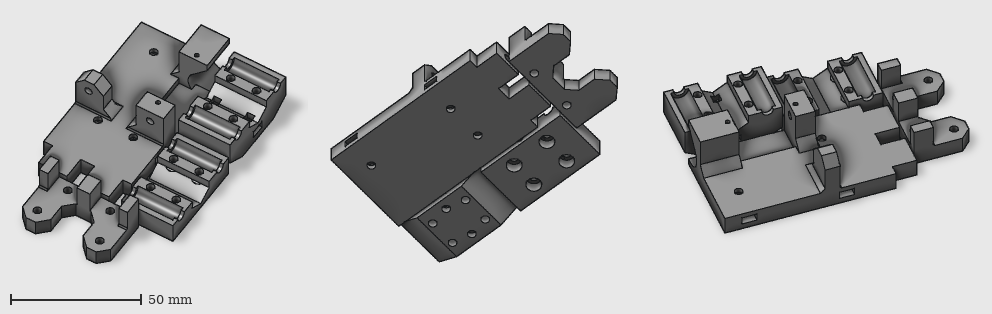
import cadquery as cq
import math

PLATE_WIDTH = 40.0
BLOCK_LENGTH = 40.0
PART_GAP = 1.1
SCREW_DIAMETER = 3.3
PIN_DIAMETER = 3.3
PIN_HOLE_DEPTH = 5.0
FRONT_FOOT = 0.6

LUG_HEIGHT = 16.0
LUG_WIDTH = 12.6
LUG_OUTER_CHAMFER = 4.0
LUG_INNER_CHAMFER = 4.2
LUG_FOOT = 3.9
PIN_OFFSET = 5.8
PIN_HEIGHT = 10.6

BASE_LENGTH = 80.1
BASE_THICKNESS = 8.0
TAB_LENGTH = 10.0
TAB_WIDTH = 12.8
TAB_INSET = 4.0
TAB_HOLE_X = TAB_INSET + TAB_WIDTH / 2
TAB_HOLE_DEPTH = TAB_LENGTH
PLATE_SCREW_X = 12.0
FRONT_SCREW_Y = 30.0
BACK_SCREW_Y = 70.0
NUT_WIDTH = 6.2
NUT_HEIGHT = 3.3
NUT_FLOOR = 2.5

FRONT_UPRIGHT_Y = 32.9
FRONT_TOWER_BACK_Y = 40.9
LUG_BACK_FOOT = 1.9
FRONT_TOWER_X = 27.5
FRONT_TOWER_FOOT = 4.1
BACK_TOWER_X = 27.1
BACK_TOWER_FOOT = 3.8
BACK_TOWER_Y = 64.2
PIN_SPACING = 28.0
TOWER_PIN_X = PIN_OFFSET + PIN_SPACING
SET_SCREW_DIAMETER = 1.8
FRONT_SET_SCREW_Y = 38.6
BACK_SET_SCREW_Y = 66.4

POCKET_FLOOR = 5.0
SHELF_DEPTH = 3.0
POCKET_END_Y = BACK_TOWER_Y + SHELF_DEPTH
BORE_X = 38.1
BORE_Z = 9.4
BORE_RADIUS = 6.8

BLOCK_X = 41.6
BLOCK_WIDTH = 23.4
FRONT_BLOCK_HEIGHT = 9.4
BACK_BLOCK_HEIGHT = 16.0
VEE_HALF_WIDTH = 6.0
VEE_ANGLE = 30
VEE_WALL = 3.7
ROD_SPACING = 28.0
BEARING_RADIUS = 3.6
ROD_RADIUS = 2.2
END_WALL = 1.6
CLAMP_SPACING_X = 11.7
CLAMP_SPACING_Y = 16.5
SCREW_HEAD_DIAMETER = 6.0
SCREW_HEAD_SEAT = 5.3
BACK_BLOCK_BEVEL = 5.1
VEE_SCREW_INSET = 4.1
VEE_SCREW_SQUARE = 3.3
BLOCK_NUT_FLOOR = 3.3

BRACKET_X = 10.1
BRACKET_THICKNESS = 7.0
BRACKET_HEIGHT = 17.0
BAR_DEPTH = 8.0
SIDE_POST_WIDTH = 3.9
CENTER_POST_WIDTH = 5.8
BRACKET_SCREW_X = 10.4
BRACKET_SCREW_Y = 3.9


def box(x0, x1, y0, y1, z0, z1):
    """Box between two opposite corners."""
    return cq.Workplane("XY").box(x1 - x0, y1 - y0, z1 - z0, centered=False).translate((x0, y0, z0))


def prism_along_y(points, y0, y1):
    """XZ outline swept from y0 to y1."""
    return cq.Workplane("XZ", origin=(0, y0, 0)).polyline(points).close().extrude(y0 - y1)


def prism_along_x(points, x0, x1):
    """YZ outline swept from x0 to x1."""
    return cq.Workplane("YZ", origin=(x0, 0, 0)).polyline(points).close().extrude(x1 - x0)


def hole_z(x, y, diameter, z0, z1):
    """Round cutter along Z."""
    return cq.Workplane("XY", origin=(x, y, z0)).circle(diameter / 2).extrude(z1 - z0)


def hole_y(x, z, diameter, y0, y1):
    """Round cutter along Y."""
    return cq.Workplane("XZ", origin=(x, y0, z)).circle(diameter / 2).extrude(y0 - y1)


def nut_slot(open_x, screw_x, screw_y, floor):
    """Nut slot from a side face to a screw, with a hexagonal end round the screw."""
    corner_radius = NUT_WIDTH / math.sqrt(3)
    side = math.copysign(1, screw_x - open_x)
    half = NUT_WIDTH / 2
    outline = [
        (open_x, screw_y - half),
        (screw_x + side * corner_radius / 2, screw_y - half),
        (screw_x + side * corner_radius, screw_y),
        (screw_x + side * corner_radius / 2, screw_y + half),
        (open_x, screw_y + half),
    ]
    return cq.Workplane("XY", origin=(0, 0, floor)).polyline(outline).close().extrude(NUT_HEIGHT)


def lug_outline():
    """Chamfered lug with a 45 degree foot on its inner side; the root's outer corner is the origin."""
    return [
        (0, 0),
        (0, LUG_HEIGHT - LUG_OUTER_CHAMFER),
        (LUG_OUTER_CHAMFER, LUG_HEIGHT),
        (LUG_WIDTH - LUG_INNER_CHAMFER, LUG_HEIGHT),
        (LUG_WIDTH, LUG_HEIGHT - LUG_INNER_CHAMFER),
        (LUG_WIDTH, LUG_FOOT),
        (LUG_WIDTH + LUG_FOOT, 0),
    ]


BASE_TOP = BASE_THICKNESS
UPRIGHT_TOP = BASE_TOP + LUG_HEIGHT
PIN_Z = BASE_TOP + PIN_HEIGHT


def front_upright(outline, back_foot):
    """Upright with the given XZ outline, footed in front and optionally at the back."""
    back_y = FRONT_TOWER_BACK_Y - back_foot
    side_outline = [
        (FRONT_UPRIGHT_Y - FRONT_FOOT, BASE_TOP),
        (FRONT_UPRIGHT_Y, BASE_TOP + FRONT_FOOT),
        (FRONT_UPRIGHT_Y, UPRIGHT_TOP),
        (back_y, UPRIGHT_TOP),
    ]
    if back_foot:
        side_outline.append((back_y, BASE_TOP + back_foot))
    side_outline.append((FRONT_TOWER_BACK_Y, BASE_TOP))
    upright = prism_along_y(outline, FRONT_UPRIGHT_Y - FRONT_FOOT, FRONT_TOWER_BACK_Y)
    return upright.intersect(prism_along_x(side_outline, 0, PLATE_WIDTH))


def tower_outline(wall_x, foot):
    """Tower flush with the right side of the plate, with a 45 degree foot on its left."""
    return [
        (wall_x - foot, BASE_TOP),
        (wall_x, BASE_TOP + foot),
        (wall_x, UPRIGHT_TOP),
        (PLATE_WIDTH, UPRIGHT_TOP),
        (PLATE_WIDTH, BASE_TOP),
    ]


def base_plate():
    """Flat plate with two hinge tabs in front, each with a screw hole in its end."""
    plate = box(0, PLATE_WIDTH, TAB_LENGTH, BASE_LENGTH, 0, BASE_THICKNESS)
    for tab_x in (TAB_INSET, PLATE_WIDTH - TAB_INSET - TAB_WIDTH):
        plate = plate.union(box(tab_x, tab_x + TAB_WIDTH, 0, TAB_LENGTH, 0, BASE_THICKNESS))
    for hole_x in (TAB_HOLE_X, PLATE_WIDTH - TAB_HOLE_X):
        plate = plate.cut(hole_y(hole_x, BASE_THICKNESS / 2, SCREW_DIAMETER, 0, TAB_HOLE_DEPTH))
    return plate


def motor_bore():
    """Bore along Y whose roof is a 45 degree tangent plane; it opens at the plate's right side."""
    tangent = BORE_RADIUS / math.sqrt(2)
    reach = PLATE_WIDTH - BORE_X + tangent
    tangent_x = BORE_X - tangent
    tangent_z = BORE_Z + tangent
    roof = [
        (tangent_x, tangent_z),
        (PLATE_WIDTH, tangent_z + reach),
        (PLATE_WIDTH, BORE_Z),
        (BORE_X, BORE_Z),
    ]
    bore = hole_y(BORE_X, BORE_Z, 2 * BORE_RADIUS, BACK_TOWER_Y, BASE_LENGTH)
    bore = bore.union(prism_along_y(roof, BACK_TOWER_Y, BASE_LENGTH))
    shelf = box(BACK_TOWER_X, PLATE_WIDTH + BORE_RADIUS, BACK_TOWER_Y, POCKET_END_Y, 0, POCKET_FLOOR)
    return bore.cut(shelf)


def base():
    """Base plate with its lug, towers, pocket, bore and holes."""
    lug = [(x, BASE_TOP + z) for x, z in lug_outline()]
    body = base_plate()
    body = body.union(front_upright(lug, LUG_BACK_FOOT))
    body = body.union(front_upright(tower_outline(FRONT_TOWER_X, FRONT_TOWER_FOOT), 0))
    back_tower = tower_outline(BACK_TOWER_X, BACK_TOWER_FOOT)
    body = body.union(prism_along_y(back_tower, BACK_TOWER_Y, BASE_LENGTH))

    body = body.cut(box(BACK_TOWER_X, PLATE_WIDTH, FRONT_TOWER_BACK_Y, BACK_TOWER_Y, POCKET_FLOOR, BASE_TOP))
    body = body.cut(motor_bore())

    pin_start = FRONT_UPRIGHT_Y
    body = body.cut(hole_y(PIN_OFFSET, PIN_Z, PIN_DIAMETER, pin_start, pin_start + PIN_HOLE_DEPTH))
    body = body.cut(hole_y(TOWER_PIN_X, PIN_Z, PIN_DIAMETER, pin_start, FRONT_TOWER_BACK_Y))
    body = body.cut(hole_z(TOWER_PIN_X, FRONT_SET_SCREW_Y, SET_SCREW_DIAMETER, PIN_Z, UPRIGHT_TOP))
    body = body.cut(hole_z(TOWER_PIN_X, BACK_SET_SCREW_Y, SET_SCREW_DIAMETER, BORE_Z, UPRIGHT_TOP))

    right_side = PLATE_WIDTH
    for side_x, screw_x, screw_y in (
        (0, PLATE_SCREW_X, FRONT_SCREW_Y),
        (0, PLATE_SCREW_X, BACK_SCREW_Y),
        (right_side, right_side - PLATE_SCREW_X, FRONT_SCREW_Y),
    ):
        body = body.cut(hole_z(screw_x, screw_y, SCREW_DIAMETER, 0, BASE_TOP))
        body = body.cut(nut_slot(side_x, screw_x, screw_y, NUT_FLOOR))
    return body


BLOCK_END_X = BLOCK_X + BLOCK_WIDTH
BLOCK_CENTER_X = BLOCK_X + BLOCK_WIDTH / 2


def clamp_screws(center_y):
    """Centres of the four clamping screws of a block."""
    return [
        (BLOCK_CENTER_X + i * CLAMP_SPACING_X / 2, center_y + j * CLAMP_SPACING_Y / 2)
        for i in (-1, 1)
        for j in (-1, 1)
    ]


def rod_block(front_y, height):
    """Block with a vee across its middle and a half-round bearing seat on each side of it."""
    center_y = front_y + BLOCK_LENGTH / 2
    vee_edge = height - VEE_WALL
    vee_bottom = vee_edge - VEE_HALF_WIDTH * math.tan(math.radians(VEE_ANGLE))
    outline = [
        (front_y, 0),
        (front_y + BLOCK_LENGTH, 0),
        (front_y + BLOCK_LENGTH, height),
        (center_y + VEE_HALF_WIDTH, height),
        (center_y + VEE_HALF_WIDTH, vee_edge),
        (center_y, vee_bottom),
        (center_y - VEE_HALF_WIDTH, vee_edge),
        (center_y - VEE_HALF_WIDTH, height),
        (front_y, height),
    ]
    block = prism_along_x(outline, BLOCK_X, BLOCK_END_X)
    for side in (-1, 1):
        axis = (center_y + side * ROD_SPACING / 2, height)
        rod = cq.Workplane("YZ", origin=(BLOCK_X, 0, 0)).center(*axis).circle(ROD_RADIUS)
        block = block.cut(rod.extrude(BLOCK_WIDTH))
        bearing = cq.Workplane("YZ", origin=(BLOCK_X + END_WALL, 0, 0)).center(*axis).circle(BEARING_RADIUS)
        block = block.cut(bearing.extrude(BLOCK_WIDTH - 2 * END_WALL))
    for x, y in clamp_screws(center_y):
        block = block.cut(hole_z(x, y, SCREW_DIAMETER, 0, height))
    return block


def front_block():
    """Low block with screw-head counterbores in its underside."""
    block = rod_block(0, FRONT_BLOCK_HEIGHT)
    for x, y in clamp_screws(BLOCK_LENGTH / 2):
        block = block.cut(hole_z(x, y, SCREW_HEAD_DIAMETER, 0, SCREW_HEAD_SEAT))
    return block


def back_block():
    """Tall block with two fixing screws in its vee, each with a nut slot from the nearest end."""
    front_y = BLOCK_LENGTH + PART_GAP
    block = rod_block(front_y, BACK_BLOCK_HEIGHT)
    back_y = front_y + BLOCK_LENGTH
    bevel_run = BACK_BLOCK_BEVEL / math.tan(math.radians(VEE_ANGLE))
    for end_y, inner_y in ((front_y, front_y + bevel_run), (back_y, back_y - bevel_run)):
        bevel = [(end_y, 0), (inner_y, 0), (end_y, BACK_BLOCK_BEVEL)]
        block = block.cut(prism_along_x(bevel, BLOCK_X, BLOCK_END_X))
    screw_y = front_y + BLOCK_LENGTH / 2
    half = VEE_SCREW_SQUARE / 2
    for open_x, screw_x in (
        (BLOCK_X, BLOCK_X + VEE_SCREW_INSET),
        (BLOCK_END_X, BLOCK_END_X - VEE_SCREW_INSET),
    ):
        block = block.cut(hole_z(screw_x, screw_y, SCREW_DIAMETER, 0, BLOCK_NUT_FLOOR))
        block = block.cut(nut_slot(open_x, screw_x, screw_y, BLOCK_NUT_FLOOR))
        block = block.cut(
            box(screw_x - half, screw_x + half, screw_y - half, screw_y + half, BLOCK_NUT_FLOOR, BACK_BLOCK_HEIGHT)
        )
    return block


def bracket():
    """Bar with three posts and two hinge legs; built at its back left corner, then moved."""
    bar = box(0, PLATE_WIDTH, -BAR_DEPTH, 0, 0, BRACKET_THICKNESS)
    leg_outline = [(x, -BAR_DEPTH - reach) for x, reach in lug_outline()]
    leg = cq.Workplane("XY").polyline(leg_outline).close().extrude(BRACKET_THICKNESS)
    pin_y = -BAR_DEPTH - PIN_HEIGHT
    leg = leg.cut(hole_z(PIN_OFFSET, pin_y, PIN_DIAMETER, BRACKET_THICKNESS - PIN_HOLE_DEPTH, BRACKET_THICKNESS))
    post_outline = [
        (0, BRACKET_THICKNESS),
        (0, BRACKET_HEIGHT),
        (-BAR_DEPTH, BRACKET_HEIGHT),
        (-BAR_DEPTH, BRACKET_THICKNESS + FRONT_FOOT),
        (-BAR_DEPTH - FRONT_FOOT, BRACKET_THICKNESS),
    ]
    side_post = prism_along_x(post_outline, 0, SIDE_POST_WIDTH)
    screw = hole_z(BRACKET_SCREW_X, -BRACKET_SCREW_Y, SCREW_DIAMETER, 0, BRACKET_THICKNESS)
    half = bar.union(leg).union(side_post).cut(screw)
    mid_x = PLATE_WIDTH / 2
    half = half.intersect(box(0, mid_x, -BAR_DEPTH - LUG_HEIGHT, 0, 0, BRACKET_HEIGHT))
    body = half.union(half.mirror("YZ", (mid_x, 0, 0)))
    half_post = CENTER_POST_WIDTH / 2
    body = body.union(box(mid_x - half_post, mid_x + half_post, -BAR_DEPTH, 0, 0, BRACKET_HEIGHT))
    return body.translate((BRACKET_X, -PART_GAP, 0))


result = cq.Compound.makeCompound([base().val(), front_block().val(), back_block().val(), bracket().val()])